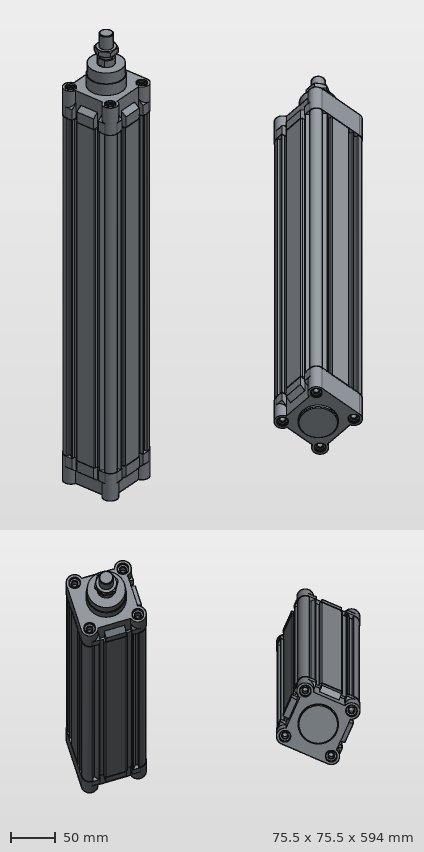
import cadquery as cq
import math

TOTAL_HEIGHT = 594.0
BOSS_HEIGHT = 4.0
CAP_HEIGHT = 36.0
ROD_PROJECTION = 69.0
COLLAR_HEIGHT = 29.0
FRONT_FACE_Z = TOTAL_HEIGHT - ROD_PROJECTION
BARREL_BOTTOM_Z = BOSS_HEIGHT + CAP_HEIGHT
BARREL_TOP_Z = FRONT_FACE_Z - CAP_HEIGHT
COLLAR_TOP_Z = FRONT_FACE_Z + COLLAR_HEIGHT

CAP_WIDTH = 75.5
CAP_HALF = CAP_WIDTH / 2
SCREW_SPACING = 56.5
PILLAR_OFFSET = SCREW_SPACING / 2
PILLAR_RADIUS = CAP_HALF - PILLAR_OFFSET
PILLAR_INNER = PILLAR_OFFSET - PILLAR_RADIUS
CAP_CORE_HALF = 31.0
PAD_HEIGHT = 14.0
PAD_SLOPE_RISE = 5.5
PAD_HALF_WIDTH = 12.0

RECESS_DIAMETER = 13.0
RECESS_DEPTH = 2.0
SCREW_BORE_DIAMETER = 12.0
SCREW_BORE_DEPTH = 3.5
SOCKET_DIAMETER = 8.0
PILOT_DIAMETER = 6.5
SOCKET_DEPTH = 5.5
PILOT_DEPTH = 15.0
DRILL_TIP_ANGLE = 118.0

COLLAR_DIAMETER = 45.0
COLLAR_STEP = 1.05
COLLAR_STEP_HEIGHT = 15.0
COLLAR_UPPER_DIAMETER = COLLAR_DIAMETER - 2 * COLLAR_STEP
BOSS_CHAMFER = COLLAR_STEP

BARREL_WIDTH = 74.0
BARREL_HALF = BARREL_WIDTH / 2
BARREL_CORNER_RADIUS = BARREL_HALF - PILLAR_OFFSET
RIB_HALF_WIDTH = 13.5
RIB_BEVEL_WIDTH = 2.0
RIB_BEVEL_DEPTH = 0.9
GROOVE_FLOOR = 33.0
RIDGE_INNER = 19.0
RIDGE_OUTER = 20.0
SLOT_INNER = 24.0
SLOT_OUTER = 27.0

ROD_DIAMETER = 20.0
ROD_FLATS = 18.0
THREAD_DIAMETER = 16.0
THREAD_LENGTH = 31.0
THREAD_CHAMFER = 0.9
NUT_FLATS = 24.0
NUT_HEIGHT = 8.0
NUT_FACE_DIAMETER = 23.0
NUT_CHAMFER_ANGLE = 30.0
NUT_BOTTOM_Z = 568.5
NUT_TURN = 30.0


def box(x_min, x_max, y_min, y_max, z_min, z_max):
    """Box from its limits along each axis."""
    size = (x_max - x_min, y_max - y_min, z_max - z_min)
    return cq.Workplane("XY").box(*size, centered=False).translate((x_min, y_min, z_min))


def disc(diameter, z_min, z_max):
    """Upright cylinder on the main axis."""
    return cq.Workplane("XY").workplane(offset=z_min).circle(diameter / 2).extrude(z_max - z_min)


def sloped_pad(x_min, x_max):
    """Pad on the -Y side, based on Z = 0, whose top slopes down towards the outside."""
    profile = [
        (-CAP_CORE_HALF, 0),
        (-CAP_HALF, 0),
        (-CAP_HALF, PAD_HEIGHT),
        (-CAP_CORE_HALF, PAD_HEIGHT + PAD_SLOPE_RISE),
    ]
    pad = cq.Workplane("YZ").polyline(profile).close().extrude(x_max - x_min)
    return pad.translate((x_min, 0, 0))


def corner_points():
    """The four pillar axes."""
    return [(sx * PILLAR_OFFSET, sy * PILLAR_OFFSET) for sx in (-1, 1) for sy in (-1, 1)]


def screw_recess():
    """Stepped screw recess with a drilled tip, opening upwards at Z = 0."""
    tip = PILOT_DIAMETER / 2 / math.tan(math.radians(DRILL_TIP_ANGLE / 2))
    profile = [
        (0, 0),
        (RECESS_DIAMETER / 2, 0),
        (RECESS_DIAMETER / 2, -RECESS_DEPTH),
        (SCREW_BORE_DIAMETER / 2, -RECESS_DEPTH),
        (SCREW_BORE_DIAMETER / 2, -SCREW_BORE_DEPTH),
        (SOCKET_DIAMETER / 2, -SCREW_BORE_DEPTH),
        (SOCKET_DIAMETER / 2, -SOCKET_DEPTH),
        (PILOT_DIAMETER / 2, -SOCKET_DEPTH),
        (PILOT_DIAMETER / 2, -PILOT_DEPTH),
        (0, -PILOT_DEPTH - tip),
    ]
    return cq.Workplane("XZ").polyline(profile).close().revolve(360, (0, 0), (0, 1))


def end_cap():
    """Cap standing on the barrel end at Z = 0, with its outer face on top."""
    cap = box(-CAP_CORE_HALF, CAP_CORE_HALF, -CAP_CORE_HALF, CAP_CORE_HALF, 0, CAP_HEIGHT)
    pillars = cq.Workplane("XY").pushPoints(corner_points()).circle(PILLAR_RADIUS).extrude(CAP_HEIGHT)
    cap = cap.union(pillars)
    cap = cap.union(box(-PILLAR_OFFSET, PILLAR_OFFSET, 0, CAP_HALF, 0, CAP_HEIGHT))
    spans = [
        (-PAD_HALF_WIDTH, PAD_HALF_WIDTH),
        (-PILLAR_OFFSET, -PILLAR_INNER),
        (PILLAR_INNER, PILLAR_OFFSET),
    ]
    for side_angle in (-90, 0, 90):
        for x_min, x_max in spans:
            cap = cap.union(sloped_pad(x_min, x_max).rotate((0, 0, 0), (0, 0, 1), side_angle))
    for x, y in corner_points():
        cap = cap.cut(screw_recess().translate((x, y, CAP_HEIGHT)))
    return cap


def barrel_groove_outlines():
    """Channel and slot outlines on the +X half of the -Y side."""
    channel = [
        (RIB_HALF_WIDTH - RIB_BEVEL_WIDTH, -BARREL_HALF),
        (RIDGE_INNER, -BARREL_HALF),
        (RIDGE_INNER, -GROOVE_FLOOR),
        (RIB_HALF_WIDTH, -GROOVE_FLOOR),
        (RIB_HALF_WIDTH, RIB_BEVEL_DEPTH - BARREL_HALF),
    ]
    slot = [
        (RIDGE_OUTER, -BARREL_HALF),
        (SLOT_INNER, -GROOVE_FLOOR),
        (SLOT_OUTER, -GROOVE_FLOOR),
        (SLOT_OUTER, -BARREL_HALF),
    ]
    return [channel, slot]


def barrel():
    """Profiled barrel between the caps, with rounded corners and the same grooves on all four sides."""
    height = BARREL_TOP_Z - BARREL_BOTTOM_Z
    profiled = cq.Workplane("XY").rect(BARREL_WIDTH, BARREL_WIDTH).extrude(height)
    profiled = profiled.edges("|Z").fillet(BARREL_CORNER_RADIUS)
    for outline in barrel_groove_outlines():
        groove = cq.Workplane("XY").polyline(outline).close().extrude(height)
        for side_angle in range(0, 360, 90):
            for half in (groove, groove.mirror("YZ")):
                profiled = profiled.cut(half.rotate((0, 0, 0), (0, 0, 1), side_angle))
    return profiled.translate((0, 0, BARREL_BOTTOM_Z))


def collar():
    """Stepped guide collar on the front cap."""
    step_z = FRONT_FACE_Z + COLLAR_STEP_HEIGHT
    lower = disc(COLLAR_DIAMETER, FRONT_FACE_Z, step_z)
    return lower.union(disc(COLLAR_UPPER_DIAMETER, step_z, COLLAR_TOP_Z))


def make_housing():
    """Barrel, both caps, collar and rear boss, bored for the rod."""
    front_cap = end_cap().translate((0, 0, BARREL_TOP_Z))
    rear_cap = end_cap().mirror("XY").translate((0, 0, BARREL_BOTTOM_Z))
    housing = barrel().union(front_cap).union(rear_cap).union(collar())
    boss = disc(COLLAR_DIAMETER, 0, BOSS_HEIGHT).faces("<Z").edges().chamfer(BOSS_CHAMFER)
    housing = housing.union(boss)
    return housing.cut(disc(ROD_DIAMETER, BARREL_TOP_Z, COLLAR_TOP_Z))


def make_piston_rod():
    """Rod with two wrench flats facing -Y and +Y and a threaded end."""
    shoulder_z = TOTAL_HEIGHT - THREAD_LENGTH
    guided = disc(ROD_DIAMETER, BARREL_TOP_Z, COLLAR_TOP_Z)
    radius = ROD_DIAMETER / 2
    flats = box(-radius, radius, -ROD_FLATS / 2, ROD_FLATS / 2, COLLAR_TOP_Z, shoulder_z)
    neck = disc(ROD_DIAMETER, COLLAR_TOP_Z, shoulder_z).intersect(flats)
    thread = disc(THREAD_DIAMETER, shoulder_z, TOTAL_HEIGHT)
    thread = thread.faces(">Z").edges().chamfer(THREAD_CHAMFER)
    return guided.union(neck).union(thread)


def make_nut():
    """Hexagon nut on the thread, with corners towards -Y and +Y."""
    corner_diameter = NUT_FLATS / math.cos(math.pi / 6)
    nut = cq.Workplane("XY").polygon(6, corner_diameter).circle(THREAD_DIAMETER / 2).extrude(NUT_HEIGHT)
    flare = (corner_diameter - NUT_FACE_DIAMETER) / 2
    drop = flare * math.tan(math.radians(NUT_CHAMFER_ANGLE))
    envelope = [
        (0, 0),
        (NUT_FACE_DIAMETER / 2, 0),
        (corner_diameter / 2, drop),
        (corner_diameter / 2, NUT_HEIGHT - drop),
        (NUT_FACE_DIAMETER / 2, NUT_HEIGHT),
        (0, NUT_HEIGHT),
    ]
    turned = cq.Workplane("XZ").polyline(envelope).close().revolve(360, (0, 0), (0, 1))
    nut = nut.intersect(turned)
    return nut.rotate((0, 0, 0), (0, 0, 1), NUT_TURN).translate((0, 0, NUT_BOTTOM_Z))


housing = make_housing()
piston_rod = make_piston_rod()
nut = make_nut()
result = cq.Compound.makeCompound([housing.val(), piston_rod.val(), nut.val()])